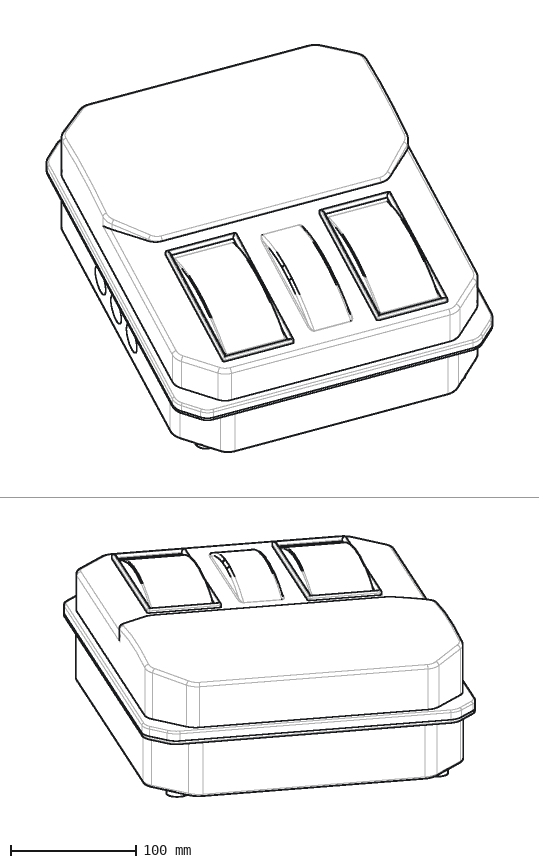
import cadquery as cq
FLANGE_LENGTH = 332.0
FLANGE_WIDTH = 273.0
FLANGE_CORNER_CUT = 20.0
FLANGE_CORNER_RADIUS = 13.5
FLANGE_EDGE_RADIUS = 1.5

BASE_LENGTH = 322.7
BASE_WIDTH = 262.3
BASE_CORNER_CUT = 34.0
BASE_CORNER_RADIUS = 15.3
BASE_BOTTOM_RADIUS = 2.5

LID_LENGTH = 320.0
LID_WIDTH = 260.3
LID_CORNER_CUT = 31.0
LID_CORNER_RADIUS = 14.0
LID_EDGE_RADIUS = 3.3

FOOT_HEIGHT = 4.3
FLANGE_BOTTOM = 52.0
SEAM_HEIGHT = 55.5
FLANGE_TOP = 63.5
DECK_HEIGHT = 97.0
TOTAL_HEIGHT = 110.0

FOOT_DIAMETER = 17.3
FOOT_SPACING_X = 273.5
FOOT_SPACING_Y = 213.0

DOME_LENGTH = 163.7
DOME_SAGITTA = 9.3
DOME_EDGE_RADIUS = 3.0

WINDOW_CENTER_X = 83.3
WINDOW_LENGTH = 117.0
WINDOW_ROOT_RADIUS = 1.0
MIDDLE_WINDOW_WIDTH = 36.0
MIDDLE_WINDOW_EDGE_RADIUS = 2.3
OUTER_WINDOW_WIDTH = 51.8
OUTER_WINDOW_EDGE_RADIUS = 1.0
OUTER_WINDOW_Y = 65.7

ROOT_MARGIN = 0.3

FRAME_LENGTH = 131.5
FRAME_WIDTH = 60.8
FRAME_WALL = 3.5
FRAME_HEIGHT = 3.3
FRAME_CORNER_RADIUS = 1.5
FRAME_OUTER_EDGE_RADIUS = 1.3
FRAME_INNER_EDGE_RADIUS = 2.0

PLUG_DIAMETER = 23.5
PLUG_DEPTH = 3.3
PLUG_SPACING = 35.2
PLUG_HEIGHT = 30.0
PLUG_COUNT = 3


def cut_corner_block(length, width, corner_cut, corner_radius, bottom, top, center_x=0.0):
    """Upright block whose four corners are cut at 45 degrees and then rounded."""
    return (
        cq.Workplane("XY", origin=(center_x, 0, bottom))
        .rect(length, width)
        .extrude(top - bottom)
        .edges("|Z")
        .chamfer(corner_cut)
        .edges("|Z")
        .fillet(corner_radius)
    )


def flange_layer(bottom, top):
    """One body's share of the flange, with square edges."""
    return cut_corner_block(
        FLANGE_LENGTH, FLANGE_WIDTH, FLANGE_CORNER_CUT, FLANGE_CORNER_RADIUS, bottom, top
    )


def arc_prism(center_x, length, width, edge_height, crown_height, floor_height):
    """Prism along Y, centred on the X axis, whose top is an arc over its length in X."""
    left = center_x - length / 2
    right = center_x + length / 2
    profile = cq.Workplane("XZ").moveTo(left, edge_height)
    profile = profile.threePointArc((center_x, crown_height), (right, edge_height))
    if floor_height < edge_height:
        profile = profile.lineTo(right, floor_height).lineTo(left, floor_height)
    return profile.close().extrude(width / 2, both=True)


def make_base():
    """Lower half of the housing with its share of the flange and four round feet."""
    walls = cut_corner_block(
        BASE_LENGTH, BASE_WIDTH, BASE_CORNER_CUT, BASE_CORNER_RADIUS, FOOT_HEIGHT, SEAM_HEIGHT
    )
    walls = walls.faces("<Z").edges().fillet(BASE_BOTTOM_RADIUS)
    flange = flange_layer(FLANGE_BOTTOM, SEAM_HEIGHT).faces("<Z").edges().fillet(FLANGE_EDGE_RADIUS)
    feet = (
        cq.Workplane("XY")
        .rect(FOOT_SPACING_X, FOOT_SPACING_Y, forConstruction=True)
        .vertices()
        .circle(FOOT_DIAMETER / 2)
        .extrude(FOOT_HEIGHT)
    )
    return walls.union(flange).union(feet)


def make_dome():
    """Panel with cut corners, flush with the lid's left side and arched across X."""
    center_x = (DOME_LENGTH - LID_LENGTH) / 2
    block = cut_corner_block(
        DOME_LENGTH, LID_WIDTH, LID_CORNER_CUT, LID_CORNER_RADIUS, SEAM_HEIGHT, TOTAL_HEIGHT, center_x
    )
    arch = arc_prism(
        center_x, DOME_LENGTH, LID_WIDTH, TOTAL_HEIGHT - DOME_SAGITTA, TOTAL_HEIGHT, SEAM_HEIGHT
    )
    return block.intersect(arch).faces(">Z").edges().fillet(DOME_EDGE_RADIUS)


def make_frame(center_y):
    """Rounded rectangular rim standing on the deck around an outer window."""
    origin = (WINDOW_CENTER_X, center_y, DECK_HEIGHT)
    outer = (
        cq.Workplane("XY", origin=origin)
        .rect(FRAME_LENGTH, FRAME_WIDTH)
        .extrude(FRAME_HEIGHT)
        .edges("|Z")
        .fillet(FRAME_CORNER_RADIUS)
        .faces(">Z")
        .edges()
        .fillet(FRAME_OUTER_EDGE_RADIUS)
    )
    opening = (
        cq.Workplane("XY", origin=origin)
        .rect(FRAME_LENGTH - 2 * FRAME_WALL, FRAME_WIDTH - 2 * FRAME_WALL)
        .extrude(FRAME_HEIGHT)
    )
    frame = outer.cut(opening)
    inner_edges = frame.faces(">Z").wires(cq.selectors.LengthNthSelector(0)).edges()
    return inner_edges.fillet(FRAME_INNER_EDGE_RADIUS)


def add_window(lid, center_y, width, edge_radius):
    """Raise an arched window from the deck, with rounded top edges and a rounded root."""
    arch = arc_prism(
        WINDOW_CENTER_X, WINDOW_LENGTH, width, DECK_HEIGHT, TOTAL_HEIGHT, DECK_HEIGHT
    )
    arch = arch.edges("%CIRCLE").fillet(edge_radius).translate((0, center_y, 0))
    lid = lid.union(arch)
    reach_x = WINDOW_LENGTH / 2 + ROOT_MARGIN
    reach_y = width / 2 + ROOT_MARGIN
    root_box = cq.selectors.BoxSelector(
        (WINDOW_CENTER_X - reach_x, center_y - reach_y, DECK_HEIGHT - ROOT_MARGIN),
        (WINDOW_CENTER_X + reach_x, center_y + reach_y, DECK_HEIGHT + ROOT_MARGIN),
    )
    return lid.edges(root_box).edges("|X").fillet(WINDOW_ROOT_RADIUS)


def make_lid():
    """Upper half of the housing: flange, flat deck, domed panel, windows and frames."""
    deck = cut_corner_block(
        LID_LENGTH, LID_WIDTH, LID_CORNER_CUT, LID_CORNER_RADIUS, SEAM_HEIGHT, DECK_HEIGHT
    )
    deck = deck.faces(">Z").edges().fillet(LID_EDGE_RADIUS)
    flange = flange_layer(SEAM_HEIGHT, FLANGE_TOP).faces(">Z").edges().fillet(FLANGE_EDGE_RADIUS)
    lid = deck.union(flange).union(make_dome())
    lid = add_window(lid, 0.0, MIDDLE_WINDOW_WIDTH, MIDDLE_WINDOW_EDGE_RADIUS)
    for side in (-1, 1):
        center_y = side * OUTER_WINDOW_Y
        lid = add_window(lid, center_y, OUTER_WINDOW_WIDTH, OUTER_WINDOW_EDGE_RADIUS)
        lid = lid.union(make_frame(center_y))
    return lid


def make_plug(center_x):
    """Disc that fills one knockout hole, flush with the front wall of the base."""
    return (
        cq.Workplane("XZ", origin=(center_x, -BASE_WIDTH / 2, PLUG_HEIGHT))
        .circle(PLUG_DIAMETER / 2)
        .extrude(-PLUG_DEPTH)
    )


plugs = [make_plug((place - (PLUG_COUNT - 1) / 2) * PLUG_SPACING) for place in range(PLUG_COUNT)]
base = make_base()
for plug in plugs:
    base = base.cut(plug)
lid = make_lid()

result = cq.Compound.makeCompound([base.val(), lid.val(), *[plug.val() for plug in plugs]])